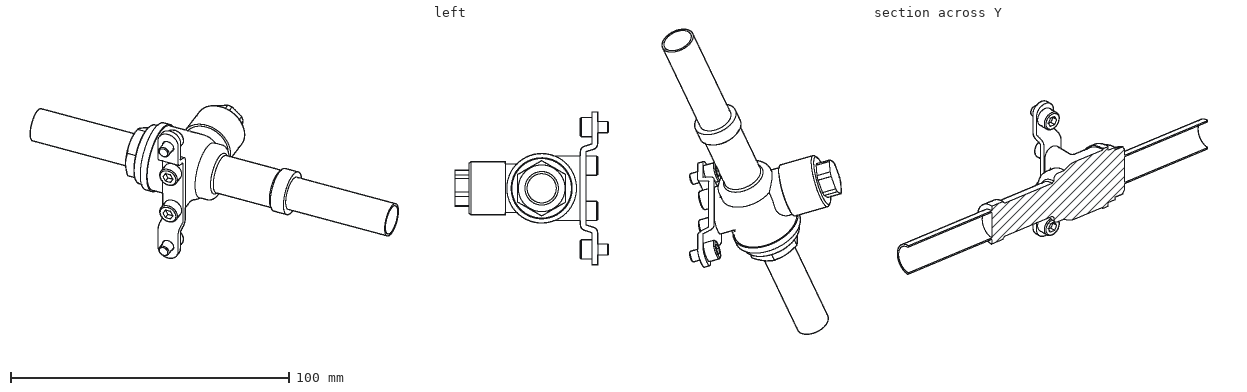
import cadquery as cq
import math


LENGTH = 139.9
DEPTH = 55.3

INLET_END = -60.9
OUTLET_END = INLET_END + LENGTH
TUBE_DIA = 12.0
TUBE_BORE = 10.5

NUT_START = -22.1
NUT_END = -17.8
NUT_FLATS = 17.2
NUT_CHAMFER_DIA = 16.8
CORNER_ANGLE = 30
FLANGE_DIA = 22.0
FLANGE_CHAMFER = 0.3
FLANGE_END = -14.4
RIM_DIA = 25.0
RIM_END = -11.9

BODY_DIA = 24.0
SHOULDER_START = 1.1
SHOULDER_END = 6.2
COLLAR_DIA = 20.4
COLLAR_END = 11.0
COLLAR_ROUND = 1.8
SLEEVE_DIA = 14.0
CONE_LENGTH = 0.8
CONE_STEP = 0.5
RING_START = 34.0
RING_END = 40.0
RING_DIA = 16.0

NECK_DIA = 17.5
CAP_DIA = 19.2
CAP_BASE = 13.0
CAP_TOP = 26.2
CAP_CHAMFER = 0.7
STEM_TOP = 31.2
STEM_FLATS = 12.0
STEM_DIA = 13.0
STEM_TURN = 10

PAD_WIDTH = 7.0
PAD_FACE = -13.9
PAD_FILLET = 2.1
EDGE_MARGIN = 0.1
SCREW_HEIGHT = 8.1

STRIP_WIDTH = 8.0
STRIP_THICKNESS = 2.1
STRIP_HEIGHT = 55.0
BEND_START = 13.0
BEND_ANGLE = 72
BEND_INNER_RADIUS = 0.1
STRIP_OFFSET = 4.2

HEAD_DIA = 7.0
HEAD_HEIGHT = 4.2
HEAD_CHAMFER = 0.4
SOCKET_FLATS = 3.4
SOCKET_DEPTH = 2.1
PIN_DIA = 4.0
PIN_END_DIA = 3.4
PIN_HOLE_DIA = 4.5
PIN_HEIGHT = 22.0
PIN_TIP = STEM_TOP - DEPTH


def cylinder_x(start, end, dia):
    return cq.Workplane("YZ", origin=(start, 0, 0)).circle(dia / 2).extrude(end - start)


def cylinder_y(start, end, dia, z=0):
    return cq.Workplane("XZ", origin=(0, start, z)).circle(dia / 2).extrude(start - end)


def flow_body():
    """Body, collars and tubes turned about X, without the nut."""
    shoulder_drop = (BODY_DIA - COLLAR_DIA) / 2
    shoulder_length = SHOULDER_END - SHOULDER_START
    shoulder_radius = (shoulder_length**2 + shoulder_drop**2) / (2 * shoulder_drop)
    half_turn = math.atan2(shoulder_drop, shoulder_length)
    shoulder_mid = (
        SHOULDER_START + shoulder_radius * math.sin(half_turn),
        BODY_DIA / 2 - shoulder_radius * (1 - math.cos(half_turn)),
    )
    return (
        cq.Workplane("XY")
        .moveTo(INLET_END, 0)
        .lineTo(INLET_END, TUBE_DIA / 2)
        .lineTo(NUT_END, TUBE_DIA / 2)
        .lineTo(NUT_END, FLANGE_DIA / 2 - FLANGE_CHAMFER)
        .lineTo(NUT_END + FLANGE_CHAMFER, FLANGE_DIA / 2)
        .lineTo(FLANGE_END, FLANGE_DIA / 2)
        .lineTo(FLANGE_END, RIM_DIA / 2)
        .lineTo(RIM_END, RIM_DIA / 2)
        .lineTo(RIM_END, BODY_DIA / 2)
        .lineTo(SHOULDER_START, BODY_DIA / 2)
        .threePointArc(shoulder_mid, (SHOULDER_END, COLLAR_DIA / 2))
        .lineTo(COLLAR_END - COLLAR_ROUND, COLLAR_DIA / 2)
        .tangentArcPoint((COLLAR_END, COLLAR_DIA / 2 - COLLAR_ROUND), relative=False)
        .lineTo(COLLAR_END, SLEEVE_DIA / 2 + CONE_STEP)
        .lineTo(COLLAR_END + CONE_LENGTH, SLEEVE_DIA / 2)
        .lineTo(RING_START, SLEEVE_DIA / 2)
        .lineTo(RING_START + CONE_LENGTH, RING_DIA / 2)
        .lineTo(RING_END, RING_DIA / 2)
        .lineTo(RING_END, TUBE_DIA / 2)
        .lineTo(OUTLET_END, TUBE_DIA / 2)
        .lineTo(OUTLET_END, 0)
        .close()
        .revolve(360, (0, 0, 0), (1, 0, 0))
    )


def nut():
    """Hexagon with corners up and down, chamfered on its outer face."""
    corner_dia = NUT_FLATS / math.cos(math.pi / 6)
    length = NUT_END - NUT_START
    hexagon = (
        cq.Workplane("YZ", origin=(NUT_START, 0, 0))
        .polygon(6, corner_dia)
        .extrude(length)
        .rotate((0, 0, 0), (1, 0, 0), 90)
    )
    rise = length / math.tan(math.radians(CORNER_ANGLE))
    cone = (
        cq.Workplane("XY")
        .moveTo(NUT_START, 0)
        .lineTo(NUT_START, NUT_CHAMFER_DIA / 2)
        .lineTo(NUT_END, NUT_CHAMFER_DIA / 2 + rise)
        .lineTo(NUT_END, 0)
        .close()
        .revolve(360, (0, 0, 0), (1, 0, 0))
    )
    return hexagon.intersect(cone)


def stem_housing():
    cap = cylinder_y(CAP_TOP, CAP_BASE, CAP_DIA).faces(">Y").chamfer(CAP_CHAMFER)
    hexagon = (
        cq.Workplane("XZ", origin=(0, STEM_TOP, 0))
        .polygon(6, STEM_FLATS / math.cos(math.pi / 6))
        .extrude(STEM_TOP - CAP_TOP)
        .rotate((0, 0, 0), (0, 1, 0), 90 + STEM_TURN)
    )
    stem = hexagon.intersect(cylinder_y(STEM_TOP, CAP_TOP, STEM_DIA))
    return cylinder_y(CAP_BASE, 0, NECK_DIA).union(cap).union(stem)


def add_pad(body):
    """Obround pad blended into the body, with the blend cut off at the pad's flat face."""
    body_radius = BODY_DIA / 2
    blank_end = -body_radius - 2 * PAD_FILLET
    blank = (
        cq.Workplane("XZ")
        .slot2D(2 * SCREW_HEIGHT + PAD_WIDTH, PAD_WIDTH, 90)
        .extrude(-blank_end)
    )
    joint = cq.selectors.BoxSelector(
        (-PAD_WIDTH, -body_radius - EDGE_MARGIN, -body_radius),
        (PAD_WIDTH, -EDGE_MARGIN, body_radius),
    )
    beyond_face = (
        cq.Workplane("XZ", origin=(0, PAD_FACE, 0))
        .rect(RIM_DIA, 2 * RIM_DIA)
        .extrude(2 * (PAD_FACE - blank_end))
    )
    return body.union(blank).edges(joint).fillet(PAD_FILLET).cut(beyond_face)


def bracket():
    """Flat strip bent outwards near both ends, with rounded ends."""
    bend = math.radians(BEND_ANGLE)
    radius = BEND_INNER_RADIUS + STRIP_THICKNESS / 2
    bend_out = radius * (1 - math.cos(bend))
    bend_up = radius * math.sin(bend)
    slope = (STRIP_OFFSET - 2 * bend_out) / math.sin(bend)
    middle = PAD_FACE - STRIP_THICKNESS / 2

    slope_start = (middle - bend_out, BEND_START + bend_up)
    slope_end = (
        slope_start[0] - slope * math.sin(bend),
        slope_start[1] + slope * math.cos(bend),
    )
    end_start = (middle - STRIP_OFFSET, slope_end[1] + bend_up)
    path = (
        cq.Workplane("YZ")
        .moveTo(middle, 0)
        .lineTo(middle, BEND_START)
        .tangentArcPoint(slope_start, relative=False)
        .lineTo(*slope_end)
        .tangentArcPoint(end_start, relative=False)
        .lineTo(end_start[0], STRIP_HEIGHT / 2)
    )
    upper = (
        cq.Workplane("XY", origin=(0, middle, 0))
        .rect(STRIP_WIDTH, STRIP_THICKNESS)
        .sweep(path)
    )
    strip = upper.union(upper.mirror("XY"))
    outline = (
        cq.Workplane("XZ")
        .slot2D(STRIP_HEIGHT, STRIP_WIDTH, 90)
        .extrude(-PIN_TIP)
    )
    strip = strip.intersect(outline)
    for z in (-PIN_HEIGHT, PIN_HEIGHT):
        strip = strip.cut(cylinder_y(0, PIN_TIP, PIN_HOLE_DIA, z))
    return strip


def screw_head(z):
    """Socket head facing -Y, with its underside on Y = 0."""
    head = cylinder_y(0, -HEAD_HEIGHT, HEAD_DIA, z).faces("<Y").chamfer(HEAD_CHAMFER)
    socket = (
        cq.Workplane("XZ", origin=(0, SOCKET_DEPTH - HEAD_HEIGHT, z))
        .polygon(6, SOCKET_FLATS / math.cos(math.pi / 6))
        .extrude(SOCKET_DEPTH)
    )
    return head.cut(socket)


def pad_screw(z):
    return screw_head(z).translate((0, PAD_FACE - STRIP_THICKNESS, 0))


def end_screw(z):
    """Screw whose head sits behind the bracket end and whose pin points to -Y."""
    seat = PAD_FACE - STRIP_OFFSET
    head = screw_head(z).mirror("XZ").translate((0, seat, 0))
    pin = cylinder_y(seat, PIN_TIP, PIN_DIA, z)
    pin = pin.faces("<Y").chamfer((PIN_DIA - PIN_END_DIA) / 2)
    return head.union(pin)


result = add_pad(flow_body())
result = result.union(nut()).union(stem_housing()).union(bracket())
for side in (-1, 1):
    result = result.union(pad_screw(side * SCREW_HEIGHT))
    result = result.union(end_screw(side * PIN_HEIGHT))

result = result.cut(cylinder_x(INLET_END, NUT_START, TUBE_BORE))
result = result.cut(cylinder_x(RING_END, OUTLET_END, TUBE_BORE))